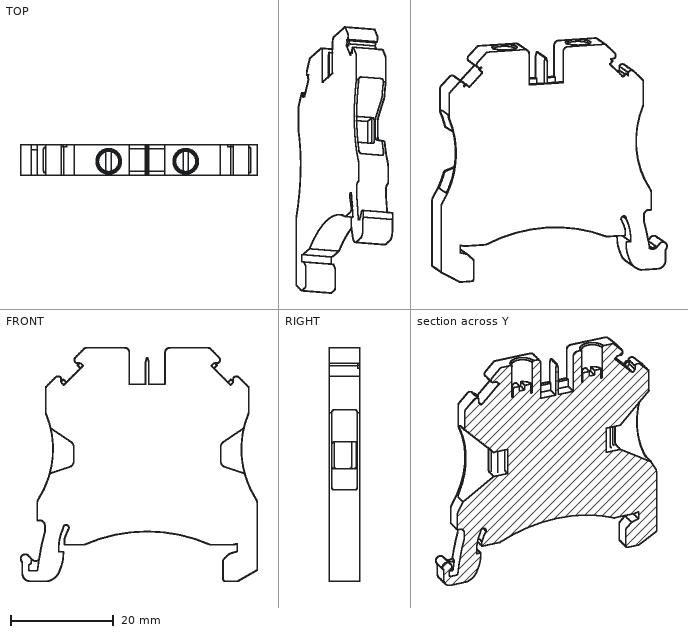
import cadquery as cq
import math


THICKNESS = 6.0
FRONT_Y = -THICKNESS / 2
BACK_Y = THICKNESS / 2
TOP_Z = 45.5
SHOULDER_X = 19.8
BASE_X = 21.45
SHOULDER_BEVEL_SUM = 57.6
BASE_Z = 7.1
TOP_EDGE_ROUND = 0.5
BASE_EDGE_ROUND = 1.6

WAIST_X = 18.35
WAIST_Z = 25.75
WAIST_RADIUS = 18.0
WAIST_CENTER_X = WAIST_X + WAIST_RADIUS

ARCH_HALF_SPAN = 12.3
ARCH_TOP_Z = 9.7

GAP_HALF_WIDTH = 3.45
GAP_FLOOR_Z = 38.4
GAP_CORNER_RADIUS = 0.95
WELL_DEPTH = 1.5
WELL_WIDTH = 4.4
FIN_THICKNESS = 0.68
FIN_TIP_THICKNESS = 0.2
FIN_TOP_Z = 43.5
FIN_BEVEL_HEIGHT = 0.8
FIN_BACK_Y = BACK_Y - 0.3

BORE_X = 7.5
BORE_Y = -0.25
BORE_DIAMETER = 4.3
BORE_CHAMFER = 0.3
BORE_DEPTH = 7.0
SCREW_DIAMETER = 4.0
SCREW_HEIGHT = 2.0
SCREW_SLOT_WIDTH = 1.05
SCREW_SLOT_DEPTH = 1.0

NOTCH_TOP = (12.47, 42.0)
NOTCH_WALL_END = (13.0, 42.5)
NOTCH_LIP_START = (13.8, 42.5)
NOTCH_LIP_TIP = (14.19, 43.1)
NOTCH_LIP_END_X = 14.02
NOTCH_CLEARANCE = 1.0
NOTCH_MIRROR_OFFSET = 25.76
NOTCH_STOP_THICKNESS = 0.45
NOTCH_STOP_WIDTH = 0.75
NOTCH_STOP_HEIGHT = 0.85

POCKET_WIDTH = 5.0
POCKET_CORNER_RADIUS = 0.45
POCKET_FLOOR_X = 13.6
POCKET_TOP_Z = 33.4
POCKET_BOTTOM_Z = 17.8
POCKET_FLOOR_TOP_Z = 27.15
POCKET_FLOOR_BOTTOM_Z = 21.95
POCKET_REACH = 2.0
RECESS_DEPTH = 3.0
RECESS_BEVEL = 0.9
RECESS_LIP = 0.6
RECESS_FILLET = 0.45
RECESS_FRONT_Y = -2.0
RECESS_BACK_Y = 2.3
WINDOW_FLOOR_X = 14.3
WINDOW_FLOOR_TOP_Z = 26.8
WINDOW_FLOOR_BOTTOM_Z = 22.55
WINDOW_TOP_SLOPE = 0.67
WINDOW_BOTTOM_SLOPE = -0.33
WINDOW_FILLET = 1.2
WINDOW_MOUTH_ROUND = 0.6
WINDOW_MOUTH_TOP = (18.8, 29.8)
WINDOW_MOUTH_BOTTOM = (19.0, 21.0)

FOOT_TOE_X = 14.75
FOOT_TOE_Z = 4.2
FOOT_SOLE_X = 17.6
FOOT_SIDE_Z = 2.2
RAIL_STOP_X = 17.5
SLIT_X = -16.15
SLIT_FOOT_X = -17.22
HOOK_LEDGE_X = -16.3
HOOK_LEDGE_Z = 5.8
HOOK_OUTER_X = -24.35
GROOVE_OUTER_X = -23.1
GROOVE_INNER_X = -21.35
GROOVE_LIP_X = -22.56
GROOVE_FLOOR_Z = 2.05
NECK_X = -19.95
NECK_TOP_Z = 11.85
HOOK_WEB_THICKNESS = 0.95
HOOK_WEB_OVERLAP = 0.1

FINE_ROUND = 0.2
GROOVE_ROUND = 0.35
TOE_ROUND = 0.5
NECK_ROUND = 0.9


def prism(outline, y_min, y_max):
    """Extrude a closed XZ outline from y_min to y_max."""
    return outline.extrude(y_max - y_min)


def start(point, y_max=BACK_Y):
    """Begin an XZ outline on the plane that closes the prism at y_max."""
    return cq.Workplane("XZ", origin=(0, y_max, 0)).moveTo(*point)


def polygon(points, y_min, y_max):
    """Prism with a straight-sided XZ outline."""
    outline = start(points[0], y_max)
    for point in points[1:]:
        outline = outline.lineTo(*point)
    return prism(outline.close(), y_min, y_max)


def both_sides(solid):
    """The solid together with its mirror image across X = 0."""
    return solid.union(solid.mirror("YZ"))


def round_corner(solid, point, radius):
    """Fillet the edge along Y that passes through an XZ point."""
    x, z = point
    nearest = cq.selectors.NearestToPointSelector((x, 0, z))
    return solid.edges("|Y").edges(nearest).fillet(radius)


def flank_z(x, direction):
    """Height on the concave flank at x, above (+1) or below (-1) the waist."""
    return WAIST_Z + direction * math.sqrt(WAIST_RADIUS**2 - (WAIST_CENTER_X - x) ** 2)


def make_housing():
    shoulder_z = flank_z(SHOULDER_X, 1)
    base_z = flank_z(BASE_X, -1)
    bevel_x = SHOULDER_BEVEL_SUM - TOP_Z
    bevel_z = SHOULDER_BEVEL_SUM - SHOULDER_X
    outline = (
        start((-GAP_HALF_WIDTH, TOP_Z))
        .lineTo(-GAP_HALF_WIDTH, GAP_FLOOR_Z)
        .lineTo(GAP_HALF_WIDTH, GAP_FLOOR_Z)
        .lineTo(GAP_HALF_WIDTH, TOP_Z)
        .lineTo(bevel_x, TOP_Z)
        .lineTo(SHOULDER_X, bevel_z)
        .lineTo(SHOULDER_X, shoulder_z)
        .threePointArc((WAIST_X, WAIST_Z), (BASE_X, base_z))
        .lineTo(BASE_X, FOOT_SIDE_Z)
        .lineTo(FOOT_SOLE_X, 0)
        .lineTo(FOOT_TOE_X, 0)
        .lineTo(FOOT_TOE_X, FOOT_TOE_Z)
        .lineTo(16.0, 5.4)
        .lineTo(RAIL_STOP_X, 5.85)
        .lineTo(RAIL_STOP_X, 7.3)
        .lineTo(16.7, BASE_Z)
        .lineTo(ARCH_HALF_SPAN, BASE_Z)
        .threePointArc((0, ARCH_TOP_Z), (-ARCH_HALF_SPAN, BASE_Z))
        .lineTo(SLIT_X, BASE_Z)
        .lineTo(SLIT_X, 8.2)
        .threePointArc((-15.75, 9.3), (-15.28, 10.35))
        .threePointArc((-15.75, 10.97), (-16.33, 10.4))
        .threePointArc((-17.0, 8.4), (SLIT_FOOT_X, HOOK_LEDGE_Z))
        .lineTo(HOOK_LEDGE_X, HOOK_LEDGE_Z)
        .threePointArc((-16.42, 4.0), (-17.0, 2.2))
        .threePointArc((-18.1, 0.6), (-19.4, 0))
        .lineTo(-22.75, 0)
        .threePointArc((-23.88, 0.47), (HOOK_OUTER_X, 1.6))
        .lineTo(HOOK_OUTER_X, 3.46)
        .lineTo(-24.39, 3.8)
        .threePointArc((-23.77, 5.3), (-23.0, 4.84))
        .lineTo(GROOVE_LIP_X, 4.4)
        .lineTo(GROOVE_LIP_X, 3.55)
        .lineTo(GROOVE_OUTER_X, 3.1)
        .lineTo(GROOVE_OUTER_X, GROOVE_FLOOR_Z)
        .lineTo(GROOVE_INNER_X, GROOVE_FLOOR_Z)
        .threePointArc((-20.75, 6.2), (NECK_X, 9.65))
        .lineTo(NECK_X, NECK_TOP_Z)
        .lineTo(-BASE_X, NECK_TOP_Z)
        .lineTo(-BASE_X, base_z)
        .threePointArc((-WAIST_X, WAIST_Z), (-SHOULDER_X, shoulder_z))
        .lineTo(-SHOULDER_X, bevel_z)
        .lineTo(-bevel_x, TOP_Z)
        .close()
    )
    housing = prism(outline, FRONT_Y, BACK_Y)
    corners = [
        ((NECK_X, NECK_TOP_Z), NECK_ROUND),
        ((-BASE_X, NECK_TOP_Z), FINE_ROUND),
        ((SLIT_X, BASE_Z), FINE_ROUND),
        ((HOOK_LEDGE_X, HOOK_LEDGE_Z), FINE_ROUND),
        ((GROOVE_OUTER_X, GROOVE_FLOOR_Z), GROOVE_ROUND),
        ((GROOVE_INNER_X, GROOVE_FLOOR_Z), GROOVE_ROUND),
        ((FOOT_TOE_X, 0), TOE_ROUND),
        ((FOOT_TOE_X, FOOT_TOE_Z), TOE_ROUND),
        ((FOOT_SOLE_X, 0), FINE_ROUND),
        ((BASE_X, FOOT_SIDE_Z), FINE_ROUND),
    ]
    for side in (-1, 1):
        corners.append(((side * GAP_HALF_WIDTH, TOP_Z), GAP_CORNER_RADIUS))
        corners.append(((side * bevel_x, TOP_Z), TOP_EDGE_ROUND))
        corners.append(((side * SHOULDER_X, bevel_z), TOP_EDGE_ROUND))
        corners.append(((side * BASE_X, base_z), BASE_EDGE_ROUND))
    for point, radius in corners:
        housing = round_corner(housing, point, radius)
    return housing


def make_hook_web():
    """Thin wall that closes the back of the groove in the hooked foot."""
    bottom = GROOVE_FLOOR_Z - HOOK_WEB_OVERLAP
    outer_x = GROOVE_OUTER_X - HOOK_WEB_OVERLAP
    outline = (
        start((outer_x, bottom))
        .lineTo(outer_x, 3.2)
        .lineTo(-22.7, 3.6)
        .lineTo(-22.6, 4.44)
        .threePointArc((-21.8, 4.0), (-20.9, 4.4))
        .lineTo(GROOVE_INNER_X + HOOK_WEB_OVERLAP, bottom)
        .close()
    )
    return prism(outline, BACK_Y - HOOK_WEB_THICKNESS, BACK_Y)


def notch_mirror(point):
    """Reflect an XZ point across the 45 degree symmetry line of the notch."""
    x, z = point
    return (z - NOTCH_MIRROR_OFFSET, x + NOTCH_MIRROR_OFFSET)


def make_notch():
    """Undercut marker notch between two rounded lips."""
    lip_end = (NOTCH_LIP_END_X, SHOULDER_BEVEL_SUM - NOTCH_LIP_END_X)
    outside = (lip_end[0] + NOTCH_CLEARANCE, lip_end[1] + NOTCH_CLEARANCE)
    outline = (
        start(NOTCH_TOP)
        .lineTo(*NOTCH_WALL_END)
        .lineTo(*NOTCH_LIP_START)
        .threePointArc(NOTCH_LIP_TIP, lip_end)
        .lineTo(*outside)
        .lineTo(*notch_mirror(outside))
        .lineTo(*notch_mirror(lip_end))
        .threePointArc(notch_mirror(NOTCH_LIP_TIP), notch_mirror(NOTCH_LIP_START))
        .lineTo(*notch_mirror(NOTCH_WALL_END))
        .lineTo(*notch_mirror(NOTCH_TOP))
        .close()
    )
    return prism(outline, FRONT_Y, BACK_Y)


def make_notch_stops():
    """Thin blocks at the back face that fill both undercut ends of a notch."""
    along = NOTCH_STOP_WIDTH * math.sqrt(0.5)
    square = NOTCH_STOP_HEIGHT * math.sqrt(0.5)
    x, z = NOTCH_TOP
    corners = [
        (x, z),
        (x + square, z + square),
        (x + square + along, z + square - along),
        (x + along, z - along),
    ]
    upper = polygon(corners, BACK_Y - NOTCH_STOP_THICKNESS, BACK_Y)
    lower_corners = [notch_mirror(corner) for corner in corners]
    lower = polygon(lower_corners, BACK_Y - NOTCH_STOP_THICKNESS, BACK_Y)
    return upper.union(lower)


def make_well():
    """Deeper channel in the floor of the top gap."""
    well = cq.Workplane("XY", origin=(0, 0, GAP_FLOOR_Z - WELL_DEPTH))
    return well.rect(2 * GAP_HALF_WIDTH, WELL_WIDTH).extrude(WELL_DEPTH)


def make_fin():
    """Upright partition with a tapered tip in the middle of the top gap."""
    half = FIN_THICKNESS / 2
    half_tip = FIN_TIP_THICKNESS / 2
    bottom = GAP_FLOOR_Z - WELL_DEPTH
    bevel_z = FIN_TOP_Z - FIN_BEVEL_HEIGHT
    points = [
        (-half, bottom),
        (half, bottom),
        (half, bevel_z),
        (half_tip, FIN_TOP_Z),
        (-half_tip, FIN_TOP_Z),
        (-half, bevel_z),
    ]
    return polygon(points, FRONT_Y, FIN_BACK_Y)


def make_bore():
    """Screw bore with a chamfered mouth."""
    mouth = cq.Workplane("XY", origin=(BORE_X, BORE_Y, TOP_Z))
    radius = BORE_DIAMETER / 2
    bore = mouth.circle(radius).extrude(-BORE_DEPTH)
    chamfer = cq.Solid.makeCone(
        radius + BORE_CHAMFER,
        radius,
        BORE_CHAMFER,
        pnt=cq.Vector(BORE_X, BORE_Y, TOP_Z),
        dir=cq.Vector(0, 0, -1),
    )
    return bore.union(cq.Workplane(chamfer))


def make_screw():
    """Slotted screw head standing on the bottom of a bore."""
    base = cq.Workplane("XY", origin=(BORE_X, BORE_Y, TOP_Z - BORE_DEPTH))
    head = base.circle(SCREW_DIAMETER / 2).extrude(SCREW_HEIGHT)
    slot_floor = base.workplane(offset=SCREW_HEIGHT - SCREW_SLOT_DEPTH)
    slot = slot_floor.rect(SCREW_SLOT_WIDTH, SCREW_DIAMETER).extrude(SCREW_SLOT_DEPTH)
    return head.cut(slot)


def make_pocket():
    """Funnel-shaped wire entry with a recess in its floor."""
    half = POCKET_WIDTH / 2
    bottom_x = WAIST_CENTER_X - math.sqrt(WAIST_RADIUS**2 - (POCKET_BOTTOM_Z - WAIST_Z) ** 2)
    top_slope = (POCKET_TOP_Z - POCKET_FLOOR_TOP_Z) / (SHOULDER_X - POCKET_FLOOR_X)
    bottom_slope = (POCKET_BOTTOM_Z - POCKET_FLOOR_BOTTOM_Z) / (bottom_x - POCKET_FLOOR_X)
    outer_x = BASE_X + POCKET_REACH
    run = outer_x - POCKET_FLOOR_X
    points = [
        (POCKET_FLOOR_X, POCKET_FLOOR_BOTTOM_Z),
        (outer_x, POCKET_FLOOR_BOTTOM_Z + bottom_slope * run),
        (outer_x, POCKET_FLOOR_TOP_Z + top_slope * run),
        (POCKET_FLOOR_X, POCKET_FLOOR_TOP_Z),
    ]
    funnel = polygon(points, -half, half)
    long_edges = "(<Y or >Y) and (not |Z)"
    funnel = funnel.edges(long_edges).fillet(POCKET_CORNER_RADIUS)
    bevel_x = POCKET_FLOOR_X - RECESS_LIP
    recess_x = POCKET_FLOOR_X - RECESS_DEPTH
    recess = (
        cq.Workplane("XY", origin=(0, 0, POCKET_FLOOR_BOTTOM_Z))
        .moveTo(POCKET_FLOOR_X, RECESS_FRONT_Y)
        .lineTo(recess_x, RECESS_FRONT_Y)
        .lineTo(recess_x, RECESS_BACK_Y - RECESS_BEVEL)
        .lineTo(bevel_x - RECESS_BEVEL, RECESS_BACK_Y - RECESS_BEVEL)
        .lineTo(bevel_x, RECESS_BACK_Y)
        .lineTo(POCKET_FLOOR_X + POCKET_CORNER_RADIUS, RECESS_BACK_Y)
        .lineTo(POCKET_FLOOR_X + POCKET_CORNER_RADIUS, RECESS_FRONT_Y)
        .close()
        .extrude(POCKET_FLOOR_TOP_Z - POCKET_FLOOR_BOTTOM_Z)
    )
    recess = recess.edges("<Z").edges("not |Y").fillet(RECESS_FILLET)
    return funnel.union(recess)


def make_window():
    """Opening in the front wall that exposes the wire entry pocket."""
    outer_x = BASE_X + POCKET_REACH
    run = outer_x - WINDOW_FLOOR_X
    points = [
        (WINDOW_FLOOR_X, WINDOW_FLOOR_BOTTOM_Z),
        (outer_x, WINDOW_FLOOR_BOTTOM_Z + WINDOW_BOTTOM_SLOPE * run),
        (outer_x, WINDOW_FLOOR_TOP_Z + WINDOW_TOP_SLOPE * run),
        (WINDOW_FLOOR_X, WINDOW_FLOOR_TOP_Z),
    ]
    window = polygon(points, FRONT_Y, -POCKET_WIDTH / 2 + POCKET_CORNER_RADIUS)
    return window.edges("|Y and <X").fillet(WINDOW_FILLET)


def round_window_mouths(body):
    """Soften the edges where the windows run out into the flanks."""
    for side in (-1, 1):
        for x, z in (WINDOW_MOUTH_TOP, WINDOW_MOUTH_BOTTOM):
            body = round_corner(body, (side * x, z), WINDOW_MOUTH_ROUND)
    return body


cuts = both_sides(make_notch())
cuts = cuts.union(both_sides(make_bore()))
cuts = cuts.union(both_sides(make_pocket()))
cuts = cuts.union(both_sides(make_window()))
cuts = cuts.union(make_well())

result = round_window_mouths(make_housing().cut(cuts))
result = result.union(make_hook_web())
result = result.union(both_sides(make_notch_stops()))
result = result.union(both_sides(make_screw()))
result = result.union(make_fin())